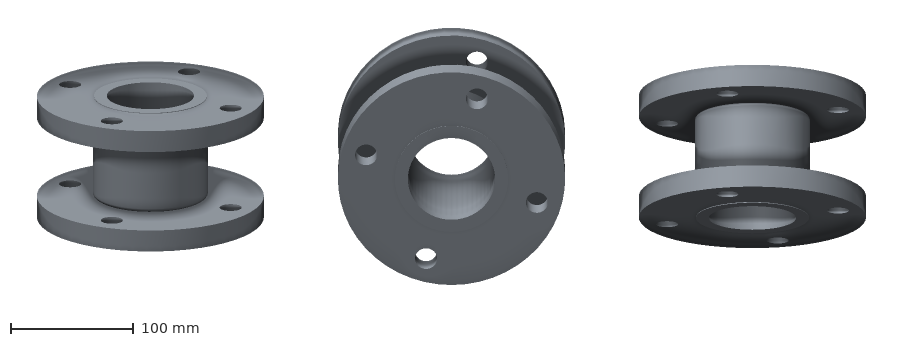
import cadquery as cq

flange_diameter = 185.0
overall_height = 104.0
bore_diameter = 71.0

flange_thickness = 18.0
raised_face_diameter = 92.1
raised_face_height = 0.5

sleeve_diameter = 94.0
sleeve_edge_radius = 3.0
sleeve_gap = 0.6
neck_diameter = 76.0

bolt_circle_diameter = 145.0
bolt_hole_diameter = 18.0
bolt_count = 4
first_bolt_angle = 45

flange_spacing = overall_height - 2 * (raised_face_height + flange_thickness)
sleeve_length = flange_spacing - 2 * sleeve_gap


def disc(diameter, height):
    """Cylinder about the Z axis, centred on the origin."""
    return cq.Workplane("XY").workplane(offset=-height / 2).circle(diameter / 2).extrude(height)


def flange(side):
    """Drilled flange; side is +1 for the upper one and -1 for the lower one."""
    center_height = side * (flange_spacing + flange_thickness) / 2
    bolt_holes = (
        cq.Workplane("XY")
        .workplane(offset=-flange_thickness / 2)
        .polarArray(bolt_circle_diameter / 2, first_bolt_angle, 360, bolt_count)
        .circle(bolt_hole_diameter / 2)
        .extrude(flange_thickness)
    )
    return disc(flange_diameter, flange_thickness).cut(bolt_holes).translate((0, 0, center_height))


def raised_face(side):
    """Thin sealing face standing proud of the outer side of a flange."""
    center_height = side * (overall_height - raised_face_height) / 2
    return disc(raised_face_diameter, raised_face_height).translate((0, 0, center_height))


sleeve = disc(sleeve_diameter, sleeve_length).edges("%CIRCLE").fillet(sleeve_edge_radius)
body = sleeve.union(disc(neck_diameter, flange_spacing))

for side in (1, -1):
    body = body.union(flange(side)).union(raised_face(side))

result = body.cut(disc(bore_diameter, overall_height))